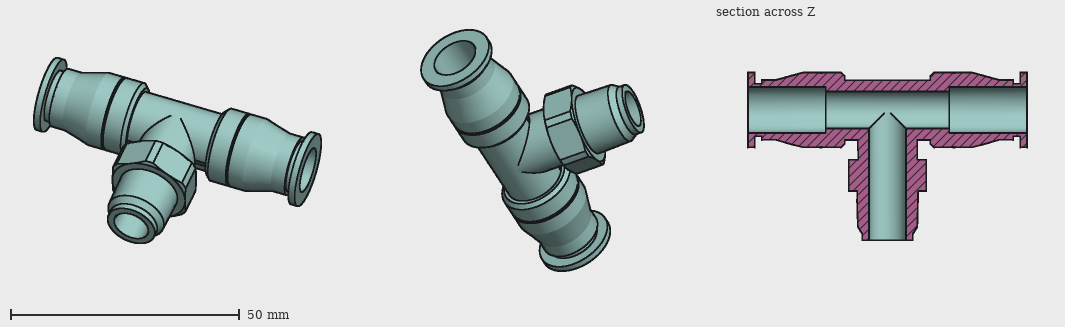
import math

import cadquery as cq

run_length = 61.0
bore_diameter = 8.0
tube_socket_diameter = 10.0
tube_socket_depth = 17.0
body_diameter = 13.02

connector_diameter = 16.5
release_neck_diameter = 11.55
sleeve_nose_diameter = 13.2
groove_depth = 0.2

flange_length = 1.5
release_neck_length = 1.5
sleeve_nose_length = 3.15
cone_length = 6.0
sleeve_length = 3.6
groove_width = 0.4
collar_length = 5.05
collar_chamfer = 0.9

branch_reach = 28.5
branch_diameter = body_diameter
hex_start = 10.85
hex_length = 6.85
hex_sides = 6
hex_across_flats = 17.0
hex_across_corners = 18.69
hex_chamfer_length = 0.35
thread_start_diameter = 13.45
thread_end_diameter = 13.08
thread_length = 7.85
lead_in_length = 1.55
tip_diameter = 11.07

seam_width = 0.94
seam_reach = 6.6


def revolve_along_x(profile):
    """Revolve (x, radius) points about the X axis."""
    return cq.Workplane("XY").polyline(profile).close().revolve(360, (0, 0, 0), (1, 0, 0))


def revolve_along_branch(profile):
    """Revolve (distance, radius) points about the branch axis, distance running along -Y."""
    points = [(radius, -distance) for distance, radius in profile]
    return cq.Workplane("XY").polyline(points).close().revolve(360, (0, 0, 0), (0, 1, 0))


def make_connector():
    """Push-in connector at the +X end: release flange, neck, tapered sleeve and collar."""
    outer_radius = connector_diameter / 2
    neck_radius = release_neck_diameter / 2
    nose_radius = sleeve_nose_diameter / 2
    groove_radius = outer_radius - groove_depth

    open_end = run_length / 2
    flange_back = open_end - flange_length
    nose_end = flange_back - release_neck_length
    cone_start = nose_end - sleeve_nose_length
    cone_end = cone_start - cone_length
    groove_start = cone_end - sleeve_length
    groove_end = groove_start - groove_width
    collar_end = groove_end - collar_length

    return revolve_along_x(
        [
            (open_end, 0),
            (open_end, outer_radius),
            (flange_back, outer_radius),
            (flange_back, neck_radius),
            (nose_end, neck_radius),
            (nose_end, nose_radius),
            (cone_start, nose_radius),
            (cone_end, outer_radius),
            (groove_start, outer_radius),
            (groove_start, groove_radius),
            (groove_end, groove_radius),
            (groove_end, outer_radius),
            (collar_end + collar_chamfer, outer_radius),
            (collar_end, outer_radius - collar_chamfer),
            (collar_end, 0),
        ]
    )


def make_run():
    """Straight run with mirrored connectors and the seam rib; the core ends inside the sleeves."""
    core_inset = flange_length + release_neck_length + sleeve_nose_length + cone_length
    core_length = run_length - 2 * core_inset
    core_start = cq.Workplane("YZ", origin=(-core_length / 2, 0, 0))
    core = core_start.circle(body_diameter / 2).extrude(core_length)
    seam = cq.Workplane("XY").box(core_length, seam_reach, seam_width).translate((0, -seam_reach / 2, 0))
    connector = make_connector()
    return core.union(seam).union(connector).union(connector.mirror("YZ"))


def make_branch():
    """Round branch that starts on the run axis and ends in a tapered thread with a plain tip."""
    thread_start = hex_start + hex_length
    thread_end = thread_start + thread_length
    tip_start = thread_end + lead_in_length
    return revolve_along_branch(
        [
            (0, 0),
            (0, branch_diameter / 2),
            (thread_start, branch_diameter / 2),
            (thread_start, thread_start_diameter / 2),
            (thread_end, thread_end_diameter / 2),
            (tip_start, tip_diameter / 2),
            (branch_reach, tip_diameter / 2),
            (branch_reach, 0),
        ]
    )


def make_hexagon():
    """Hexagon with corners up and down, trimmed round and chamfered at both ends."""
    flat_radius = hex_across_flats / 2
    corner_radius = hex_across_corners / 2
    hex_end = hex_start + hex_length
    half_side_angle = math.pi / hex_sides
    sharp_corner_diameter = hex_across_flats / math.cos(half_side_angle)
    prism = (
        cq.Workplane("XZ", origin=(0, -hex_start, 0))
        .transformed(rotate=(0, 0, 90))
        .polygon(hex_sides, sharp_corner_diameter)
        .extrude(hex_length)
    )
    envelope = revolve_along_branch(
        [
            (hex_start, 0),
            (hex_start, flat_radius),
            (hex_start + hex_chamfer_length, corner_radius),
            (hex_end - hex_chamfer_length, corner_radius),
            (hex_end, flat_radius),
            (hex_end, 0),
        ]
    )
    return prism.intersect(envelope)


def make_bores():
    """Through bore with a tube socket at each end, and the branch bore that meets it."""
    half_length = run_length / 2
    bores = cq.Workplane("YZ").circle(bore_diameter / 2).extrude(half_length, both=True)
    for side in (-1, 1):
        socket = cq.Workplane("YZ", origin=(side * half_length, 0, 0)).circle(tube_socket_diameter / 2)
        bores = bores.union(socket.extrude(-side * tube_socket_depth))
    branch_bore = cq.Workplane("XZ").circle(bore_diameter / 2).extrude(branch_reach)
    return bores.union(branch_bore)


result = make_run().union(make_branch()).union(make_hexagon()).cut(make_bores())